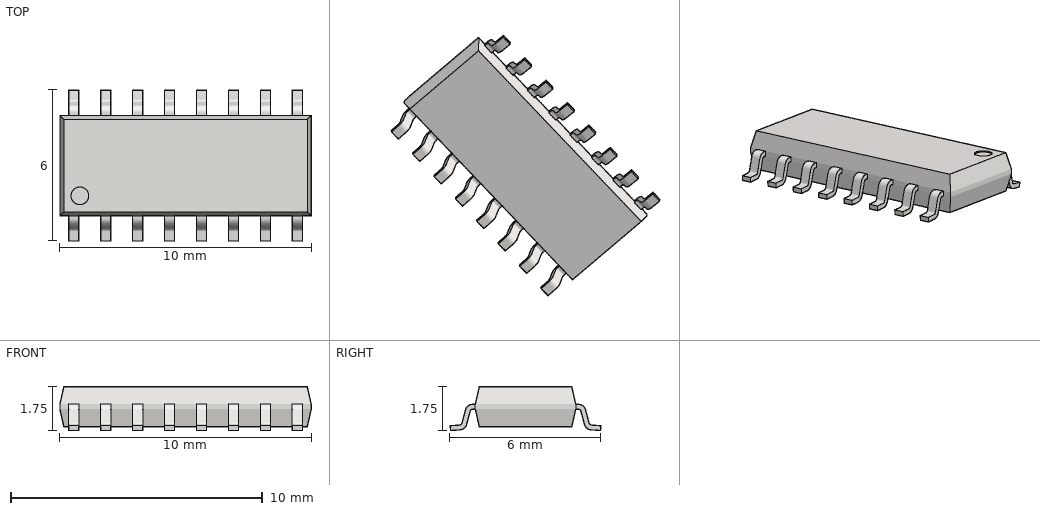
import cadquery as cq
import math


body_length = 10.0
body_width = 4.0
span_across_leads = 6.0
standoff = 0.15

band_height = 0.2
half_height = 0.7
taper_inset = 0.16
taper_angle = math.degrees(math.atan(taper_inset / half_height))
band_bottom = standoff + half_height
band_top = band_bottom + band_height
body_top = band_top + half_height

mark_diameter = 0.7
mark_edge_distance = 0.8
mark_depth = 0.05

leads_per_side = 8
lead_pitch = 1.27
lead_width = 0.41
lead_thickness = band_height
lead_embed = 0.2
shoulder_length = 0.1
inner_bend_radius = 0.1
outer_bend_radius = inner_bend_radius + lead_thickness
shank_angle = 75.0
foot_angle = 4.0


def move(point, distance, angle):
    """Point reached from `point` by going `distance` at `angle` degrees in the YZ plane."""
    radians = math.radians(angle)
    return (point[0] + distance * math.cos(radians), point[1] + distance * math.sin(radians))


def make_body():
    band = (
        cq.Workplane("XY")
        .workplane(offset=band_bottom)
        .rect(body_length, body_width)
        .extrude(band_height)
    )
    body = band
    for band_face in (">Z", "<Z"):
        half = (
            band.faces(band_face)
            .workplane()
            .rect(body_length, body_width)
            .extrude(half_height, taper=taper_angle, combine=False)
        )
        body = body.union(half)
    return body


def make_pin_mark():
    return (
        cq.Workplane("XY")
        .workplane(offset=body_top - mark_depth)
        .center(mark_edge_distance - body_length / 2, mark_edge_distance - body_width / 2)
        .circle(mark_diameter / 2)
        .extrude(mark_depth)
    )


def shank_and_foot_lengths(knee_end):
    """Straight lengths that bring the toe to the full span and its lower edge to Z = 0."""
    shank = math.radians(shank_angle)
    foot = math.radians(foot_angle)
    heel_reach = inner_bend_radius * (math.sin(shank) - math.sin(foot))
    heel_drop = inner_bend_radius * (math.cos(foot) - math.cos(shank))
    reach = span_across_leads / 2 - knee_end[0] - heel_reach
    drop = knee_end[1] - heel_drop - lead_thickness * math.cos(foot)
    turn = math.sin(shank - foot)
    shank_length = (drop * math.cos(foot) - reach * math.sin(foot)) / turn
    foot_length = (reach * math.sin(shank) - drop * math.cos(shank)) / turn
    return shank_length, foot_length


def make_lead():
    """One lead on the +Y side, centred on X = 0."""
    shank_normal = 90 - shank_angle
    foot_normal = 90 - foot_angle
    root_y = body_width / 2 - lead_embed

    knee_center = (body_width / 2 + shoulder_length, band_top - outer_bend_radius)
    knee_middle = (90 + shank_normal) / 2
    knee_end = move(knee_center, outer_bend_radius, shank_normal)
    shank_length, foot_length = shank_and_foot_lengths(knee_end)

    heel_start = move(knee_end, shank_length, -shank_angle)
    heel_center = move(heel_start, inner_bend_radius, shank_normal)
    heel_middle = 180 + (shank_normal + foot_normal) / 2
    heel_end = move(heel_center, inner_bend_radius, 180 + foot_normal)

    toe_upper = move(heel_end, foot_length, -foot_angle)
    toe_lower = move(toe_upper, lead_thickness, 180 + foot_normal)

    return (
        cq.Workplane("YZ")
        .moveTo(root_y, band_top)
        .lineTo(knee_center[0], band_top)
        .threePointArc(move(knee_center, outer_bend_radius, knee_middle), knee_end)
        .lineTo(*heel_start)
        .threePointArc(move(heel_center, inner_bend_radius, heel_middle), heel_end)
        .lineTo(*toe_upper)
        .lineTo(*toe_lower)
        .lineTo(*move(heel_center, outer_bend_radius, 180 + foot_normal))
        .threePointArc(
            move(heel_center, outer_bend_radius, heel_middle),
            move(heel_center, outer_bend_radius, 180 + shank_normal),
        )
        .lineTo(*move(knee_center, inner_bend_radius, shank_normal))
        .threePointArc(
            move(knee_center, inner_bend_radius, knee_middle),
            move(knee_center, inner_bend_radius, 90),
        )
        .lineTo(root_y, band_bottom)
        .close()
        .extrude(lead_width / 2, both=True)
    )


result = make_body().cut(make_pin_mark())

back_lead = make_lead()
front_lead = back_lead.mirror("XZ")
for index in range(leads_per_side):
    lead_x = (index - (leads_per_side - 1) / 2) * lead_pitch
    for lead in (back_lead, front_lead):
        result = result.union(lead.translate((lead_x, 0, 0)))